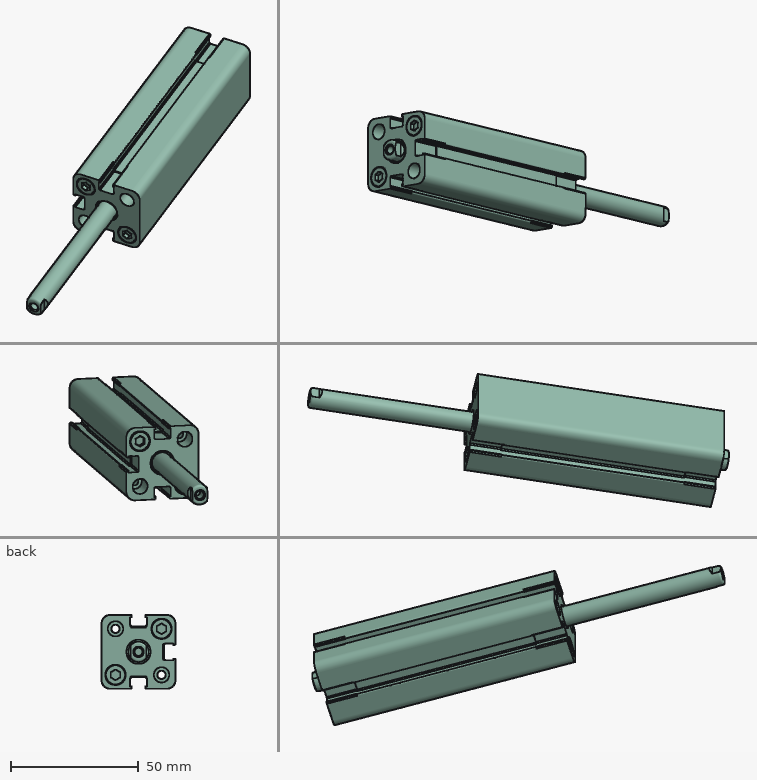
import cadquery as cq

total_length = 167.0
rear_overhang = 4.2
body_length = 98.2
cap_length = 12.5
half_length = total_length / 2
body_rear = half_length - rear_overhang
body_front = body_rear - body_length
body_middle = (body_front + body_rear) / 2
tube_start = body_front + cap_length
tube_length = body_length - 2 * cap_length

body_width = 29.0
corner_radius = 3.5
half_width = body_width / 2

slot_angles = (0, -90, 180)
slot_mouth = 5.3
slot_width = 6.5
slot_bevel = 0.5
lip_thickness = 1.0
cap_lip_bevel = 0.5
cap_slot_depth = 5.0
tube_slot_depth = 4.5

rod_diameter = 8.0
rod_end_radius = 1.0
rod_clearance_diameter = 9.5
rod_clearance_depth = 1.0
flat_width = 6.0
flat_length = 3.3
flat_depth = (rod_diameter - flat_width) / 2

centre_hole_diameter = 3.2
centre_hole_depth = 6.7
countersink_diameter = 4.2
drill_tip_length = 1.0

fixing_offset = 9.0
mounting_corners = [(fixing_offset, fixing_offset), (-fixing_offset, -fixing_offset)]
screw_corners = [(-fixing_offset, fixing_offset), (fixing_offset, -fixing_offset)]
mounting_hole_diameter = 3.2
counterbore_diameter = 6.0
counterbore_depth = 10.0
screw_recess_diameter = 8.0
screw_head_diameter = 7.5
screw_gap_depth = 1.0
socket_across_corners = 4.2
socket_depth = 2.0
socket_turn = 30


def section_at(y):
    """Workplane across the rod axis at y, with local axes X and Z and its normal toward -Y."""
    return cq.Workplane("XZ", origin=(0, y, 0))


def cylinder(diameter, start, length, centre=(0, 0)):
    """Cylinder running from start toward +Y."""
    return section_at(start).center(*centre).circle(diameter / 2).extrude(-length)


def on_both_caps(feature):
    """A front cap feature together with its mirror image on the rear cap."""
    return feature.union(feature.mirror("XZ", (0, body_middle, 0)))




def finish_half_slot(outline, depth, length):
    """Add wall, bevelled inner corner and floor to a half slot and extrude it."""
    floor = half_width - depth
    return (
        outline.lineTo(slot_width / 2, half_width - lip_thickness)
        .lineTo(slot_width / 2, floor + slot_bevel)
        .lineTo(slot_width / 2 - slot_bevel, floor)
        .lineTo(0, floor)
        .close()
        .extrude(-length)
    )


def cap_half_slot(start):
    """Half of a +Z slot whose lip is square with a small outer bevel."""
    outline = (
        section_at(start)
        .moveTo(0, half_width)
        .lineTo(slot_mouth / 2 + cap_lip_bevel, half_width)
        .lineTo(slot_mouth / 2, half_width - cap_lip_bevel)
        .lineTo(slot_mouth / 2, half_width - lip_thickness)
    )
    return finish_half_slot(outline, cap_slot_depth, cap_length)


def tube_half_slot():
    """Half of a +Z slot whose lip has a full round nose."""
    nose_radius = lip_thickness / 2
    nose_base = slot_mouth / 2 + nose_radius
    outline = (
        section_at(tube_start)
        .moveTo(0, half_width)
        .lineTo(nose_base, half_width)
        .threePointArc(
            (slot_mouth / 2, half_width - nose_radius),
            (nose_base, half_width - lip_thickness),
        )
    )
    return finish_half_slot(outline, tube_slot_depth, tube_length)


def slotted_block(start, length, half_slot):
    """Rounded square block with the slot repeated on three sides."""
    block = section_at(start).rect(body_width, body_width).extrude(-length)
    block = block.edges("|Y").fillet(corner_radius)
    slot = half_slot.union(half_slot.mirror("YZ"))
    for angle in slot_angles:
        block = block.cut(slot.rotate((0, 0, 0), (0, 1, 0), angle))
    return block


def make_body():
    body = slotted_block(tube_start, tube_length, tube_half_slot())
    for cap_start in (body_front, body_rear - cap_length):
        body = body.union(slotted_block(cap_start, cap_length, cap_half_slot(cap_start)))
    return body




def mounting_hole(corner):
    """Through hole, counterbored from both caps."""
    counterbore = cylinder(counterbore_diameter, body_front, counterbore_depth, corner)
    through = cylinder(mounting_hole_diameter, body_front, body_length, corner)
    return on_both_caps(counterbore).union(through)


def screw_opening(corner):
    """Ring gap around a flush screw head and its hexagon socket, on both caps."""
    recess = cylinder(screw_recess_diameter, body_front, screw_gap_depth, corner)
    head = cylinder(screw_head_diameter, body_front, screw_gap_depth, corner)
    socket = (
        section_at(body_front)
        .center(*corner)
        .transformed(rotate=(0, 0, socket_turn))
        .polygon(6, socket_across_corners)
        .extrude(-socket_depth)
    )
    return on_both_caps(recess.cut(head).union(socket))




def centre_hole():
    """Countersunk hole with a conical tip, opening at the front rod end."""
    hole_radius = centre_hole_diameter / 2
    countersink_radius = countersink_diameter / 2
    countersink_depth = countersink_radius - hole_radius
    front = -half_length
    return (
        cq.Workplane("XY")
        .moveTo(0, front)
        .lineTo(countersink_radius, front)
        .lineTo(hole_radius, front + countersink_depth)
        .lineTo(hole_radius, front + centre_hole_depth)
        .lineTo(0, front + centre_hole_depth + drill_tip_length)
        .close()
        .revolve(360, (0, 0, 0), (0, 1, 0))
    )


def wrench_flats():
    """Material removed for two flats with 45 degree run-outs at the front rod end."""
    inner = flat_width / 2
    outer = rod_diameter / 2
    flat_end = -half_length + flat_length
    flat = (
        cq.Workplane("XY")
        .moveTo(inner, -half_length)
        .lineTo(inner, flat_end)
        .lineTo(outer, flat_end + flat_depth)
        .lineTo(outer, -half_length)
        .close()
        .extrude(rod_diameter / 2, both=True)
    )
    return flat.union(flat.mirror("YZ"))


def make_rod():
    rod = cylinder(rod_diameter, -half_length, total_length)
    rod = rod.faces("<Y or >Y").edges().fillet(rod_end_radius)
    end_cut = wrench_flats().union(centre_hole())
    return rod.cut(end_cut).cut(end_cut.mirror("XZ"))


result = make_body()
result = result.cut(on_both_caps(cylinder(rod_clearance_diameter, body_front, rod_clearance_depth)))
for corner in mounting_corners:
    result = result.cut(mounting_hole(corner))
for corner in screw_corners:
    result = result.cut(screw_opening(corner))
result = result.union(make_rod())